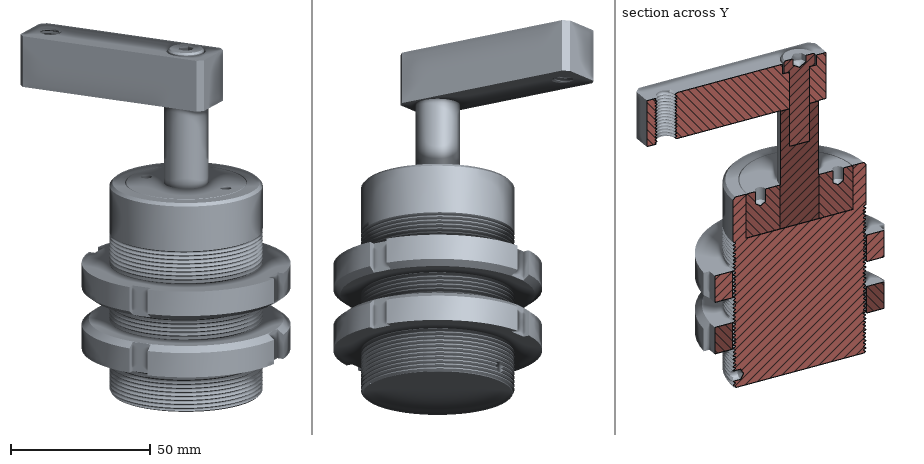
import cadquery as cq
import math

flank_slope = math.tan(math.radians(30))
depth_per_pitch = 7 / 16 / flank_slope
turns_per_stretch = 8

housing_diameter = 55.0
barrel_length = 60.0
head_length = 17.9
head_chamfer = 1.0
barrel_chamfer = 0.8
barrel_stretches = 5
barrel_groove_angle = 60
oil_hole_height = 5.0
oil_hole_depth = 3.2
pin_hole_diameter = 4.0
drill_point_angle = 118
barrel_pitch = barrel_length / (barrel_stretches * turns_per_stretch)
head_top = barrel_length + head_length

cap_diameter = 43.8
cap_edge_chamfer = 0.4
pin_hole_offset = 16.0
pin_hole_depth = 5.1

rod_diameter = 16.0
rod_exposed_length = 30.1
rod_top = head_top + rod_exposed_length

arm_left = 63.0
arm_right = 11.0
arm_section = 19.0
arm_corner_chamfer = 2.0
tapped_hole_offset = 55.0
tapped_core_diameter = 7.0
tapped_pitch = 1.25
tapped_stretches = 2
tapped_groove_angle = 40
arm_top = rod_top + arm_section

screw_shank_diameter = 8.0
screw_head_diameter = 13.0
screw_head_height = 5.0
screw_head_chamfer = 0.6
counterbore_diameter = 14.0
screw_top = 128.0
screw_length_in_rod = 15.4
socket_width = 5.0
socket_depth = 2.7
socket_turn = -15

nut_diameter = 75.0
nut_thickness = 11.0
nut_chamfer_width = 2.5
nut_chamfer_height = 1.9
nut_slot_width = 7.3
nut_slot_depth = 2.5
lower_nut_base = 16.0
upper_nut_base = 37.0


def cylinder(diameter, bottom, top):
    return cq.Workplane("XY").workplane(offset=bottom).circle(diameter / 2).extrude(top - bottom)


def drill(diameter, depth):
    """A blind hole from the origin down -Z, ending in a drill point."""
    radius = diameter / 2
    tip = depth + radius / math.tan(math.radians(drill_point_angle / 2))
    return (
        cq.Workplane("XZ")
        .polyline([(0, 0), (radius, 0), (radius, -depth), (0, -tip)])
        .close()
        .revolve(360, (0, 0, 0), (0, 1, 0))
    )


def helical_groove(surface_radius, outward_depth, pitch, turns):
    """A V groove winding up a cylinder; a negative outward_depth cuts toward the axis."""
    overshoot = 0.1 * outward_depth
    mouth_half = abs(outward_depth + overshoot) * flank_slope
    mouth_x = surface_radius - overshoot
    root_x = surface_radius + outward_depth
    path = cq.Wire.makeHelix(pitch, pitch * turns, surface_radius)
    return (
        cq.Workplane("XZ")
        .polyline([(mouth_x, -mouth_half), (root_x, 0), (mouth_x, mouth_half)])
        .close()
        .sweep(cq.Workplane(path), isFrenet=True)
    )


def cut_thread(body, groove, stretch_height, stretches, top):
    """Cut a long thread as equal stretches of groove, each continuing the one above it."""
    for stretch in range(1, stretches + 1):
        body = body.cut(groove.translate((0, 0, top - stretch * stretch_height)))
    return body


def make_housing():
    body = cylinder(housing_diameter, 0, head_top)
    body = body.faces(">Z").chamfer(head_chamfer).faces("<Z").chamfer(barrel_chamfer)
    body = body.cut(cylinder(cap_diameter, barrel_length, head_top))
    groove_depth = depth_per_pitch * barrel_pitch
    groove = helical_groove(housing_diameter / 2, -groove_depth, barrel_pitch, turns_per_stretch)
    groove = groove.rotate((0, 0, 0), (0, 0, 1), barrel_groove_angle)
    body = cut_thread(body, groove, turns_per_stretch * barrel_pitch, barrel_stretches, barrel_length)
    oil_hole = drill(pin_hole_diameter, oil_hole_depth).rotate((0, 0, 0), (0, 1, 0), -90)
    return body.cut(oil_hole.translate((-housing_diameter / 2, 0, oil_hole_height)))


def make_cap():
    cap = cylinder(cap_diameter, barrel_length, head_top).faces(">Z").edges().chamfer(cap_edge_chamfer)
    cap = cap.cut(cylinder(rod_diameter, barrel_length, head_top))
    for x in (-pin_hole_offset, pin_hole_offset):
        cap = cap.cut(drill(pin_hole_diameter, pin_hole_depth).translate((x, 0, head_top)))
    return cap


def make_rod():
    rod = cylinder(rod_diameter, barrel_length, rod_top)
    return rod.cut(cylinder(screw_shank_diameter, rod_top - screw_length_in_rod, rod_top))


def make_arm():
    arm = (
        cq.Workplane("XY")
        .box(arm_left + arm_right, arm_section, arm_section, centered=(False, True, False))
        .edges("|Z")
        .chamfer(arm_corner_chamfer)
        .translate((-arm_left, 0, rod_top))
    )
    seat = screw_top - screw_head_height
    arm = arm.cut(cylinder(screw_shank_diameter, rod_top, arm_top))
    arm = arm.cut(cylinder(counterbore_diameter, seat, arm_top))
    arm = arm.translate((tapped_hole_offset, 0, 0))
    arm = arm.cut(cylinder(tapped_core_diameter, rod_top, arm_top))
    groove_depth = depth_per_pitch * tapped_pitch
    groove = helical_groove(tapped_core_diameter / 2, groove_depth, tapped_pitch, turns_per_stretch)
    groove = groove.rotate((0, 0, 0), (0, 0, 1), tapped_groove_angle)
    arm = cut_thread(arm, groove, turns_per_stretch * tapped_pitch, tapped_stretches, arm_top)
    return arm.translate((-tapped_hole_offset, 0, 0))


def make_screw():
    head = cylinder(screw_head_diameter, screw_top - screw_head_height, screw_top)
    head = head.faces(">Z").edges().chamfer(screw_head_chamfer)
    screw = head.union(cylinder(screw_shank_diameter, rod_top - screw_length_in_rod, screw_top - screw_head_height))
    socket = (
        cq.Workplane("XY")
        .polygon(6, socket_width / math.cos(math.pi / 6))
        .extrude(-socket_depth)
        .union(drill(socket_width, socket_depth))
        .rotate((0, 0, 0), (0, 0, 1), socket_turn)
    )
    return screw.cut(socket.translate((0, 0, screw_top)))


def make_nut():
    """A slotted ring nut standing on Z = 0 with its chamfered face up."""
    outer = nut_diameter / 2
    bore = housing_diameter / 2
    nut = (
        cq.Workplane("XZ")
        .polyline([
            (bore, 0),
            (outer, 0),
            (outer, nut_thickness - nut_chamfer_height),
            (outer - nut_chamfer_width, nut_thickness),
            (bore, nut_thickness),
        ])
        .close()
        .revolve(360, (0, 0, 0), (0, 1, 0))
    )
    slots = (
        cq.Workplane("XY")
        .polarArray(outer, 0, 360, 4)
        .rect(2 * nut_slot_depth, nut_slot_width)
        .extrude(nut_thickness)
    )
    return nut.cut(slots)


housing = make_housing()
cap = make_cap()
rod = make_rod()
arm = make_arm()
screw = make_screw()
lower_nut = make_nut().translate((0, 0, lower_nut_base))
upper_nut = (
    make_nut().rotate((0, 0, 0), (1, 0, 0), 180).translate((0, 0, upper_nut_base + nut_thickness))
)

result = cq.Compound.makeCompound(
    [body.val() for body in (housing, cap, rod, arm, screw, lower_nut, upper_nut)]
)